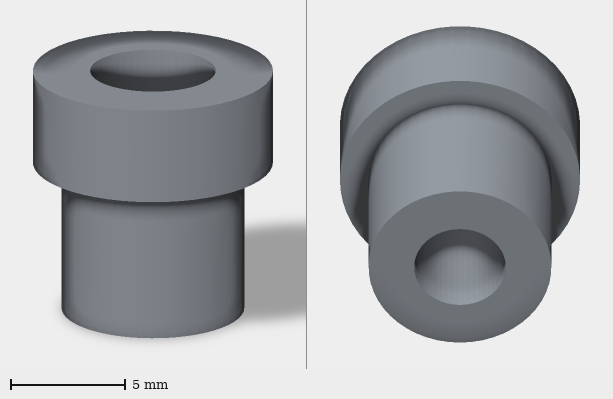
import cadquery as cq

total_height = 11.0
head_height = 4.25
shank_height = total_height - head_height

head_diameter = 10.5
shank_diameter = 8.0

counterbore_diameter = 5.5
counterbore_depth = head_height
through_hole_diameter = 4.0

shank = cq.Workplane("XY").circle(shank_diameter / 2).extrude(shank_height)
head = (
    cq.Workplane("XY")
    .workplane(offset=shank_height)
    .circle(head_diameter / 2)
    .extrude(head_height)
)

result = (
    shank.union(head)
    .faces(">Z")
    .workplane()
    .cboreHole(through_hole_diameter, counterbore_diameter, counterbore_depth)
)